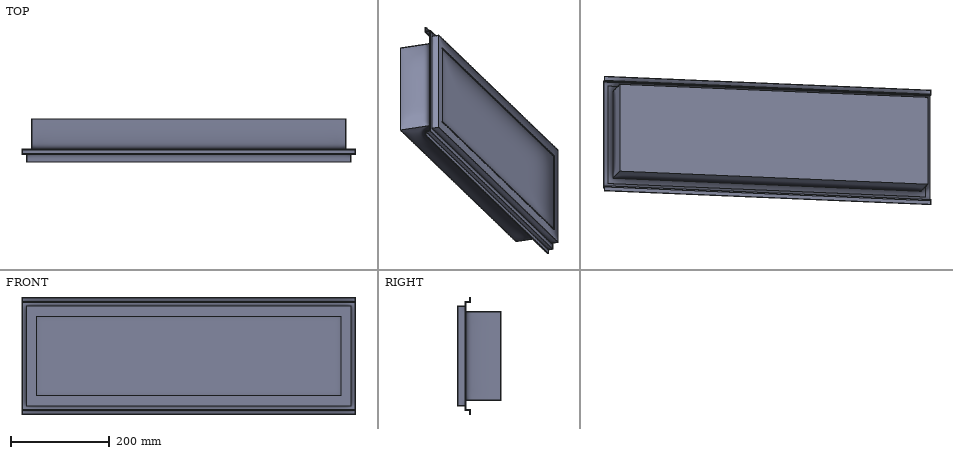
import cadquery as cq

WIDTH = 679.0
DEPTH = 88.0
HEIGHT = 238.0

SHEET = 2.0
RAIL_LIP = 8.0
RAIL_SETBACK = 11.5
PLATE_HEIGHT = HEIGHT - 2 * RAIL_LIP

BEZEL_DEPTH = 15.0
BEZEL_WIDTH = 661.0
BEZEL_HEIGHT = 203.0
WINDOW_WIDTH = 620.0
WINDOW_HEIGHT = 162.0
WINDOW_RECESS = 2.0

HOUSING_WIDTH = 641.0
HOUSING_HEIGHT = 181.0
HOUSING_DEPTH = DEPTH - BEZEL_DEPTH


def centred_block(width, height, front, depth):
    """Block centred in X and Z, reaching back along +Y from y = front."""
    return (
        cq.Workplane("XY")
        .box(width, depth, height, centered=(True, False, True))
        .translate((0, front, 0))
    )


def upper_rail():
    """Rail that runs back from the plate's top edge, then turns up into a lip."""
    shelf_top = PLATE_HEIGHT / 2
    shelf_bottom = shelf_top - SHEET
    lip_top = HEIGHT / 2
    lip_front = RAIL_SETBACK - SHEET
    return (
        cq.Workplane("YZ")
        .moveTo(0, shelf_bottom)
        .lineTo(RAIL_SETBACK, shelf_bottom)
        .lineTo(RAIL_SETBACK, lip_top)
        .lineTo(lip_front, lip_top)
        .lineTo(lip_front, shelf_top)
        .lineTo(0, shelf_top)
        .close()
        .extrude(WIDTH / 2, both=True)
    )


plate = centred_block(WIDTH, PLATE_HEIGHT, 0, SHEET)
housing = centred_block(HOUSING_WIDTH, HOUSING_HEIGHT, 0, HOUSING_DEPTH)
bezel = centred_block(BEZEL_WIDTH, BEZEL_HEIGHT, -BEZEL_DEPTH, BEZEL_DEPTH)
window = centred_block(WINDOW_WIDTH, WINDOW_HEIGHT, -BEZEL_DEPTH, WINDOW_RECESS)

rail = upper_rail()
result = (
    plate.union(housing)
    .union(bezel.cut(window))
    .union(rail)
    .union(rail.mirror("XY"))
)